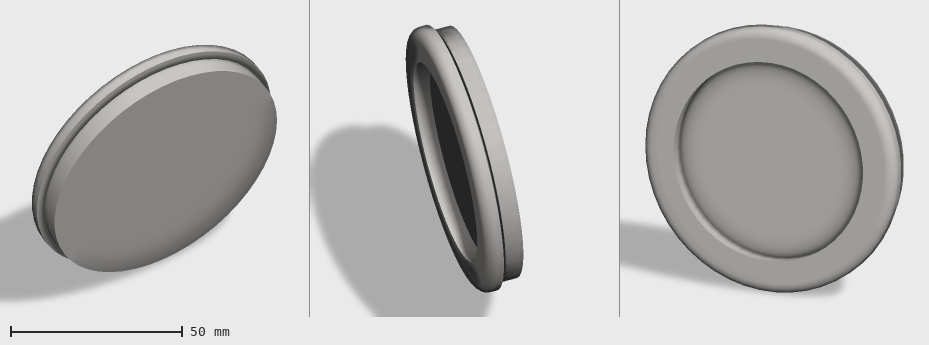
import cadquery as cq

outer_radius = 40.0
ring_thickness = 5.0
ring_edge_radius = 3.0
opening_radius = 30.0

overall_depth = 11.5
neck_radius = 35.0
neck_length = 1.1
disc_radius = 38.0
disc_start = ring_thickness + neck_length


def cylinder_along_x(start, end, radius):
    """Solid cylinder centred on the X axis between two X positions."""
    return cq.Workplane("YZ", origin=(start, 0, 0)).circle(radius).extrude(end - start)


def make_ring():
    """Front ring with a rounded outer edge and a through opening."""
    body = cylinder_along_x(0, ring_thickness, outer_radius)
    body = body.faces("<X").edges().fillet(ring_edge_radius)
    return body.cut(cylinder_along_x(0, ring_thickness, opening_radius))


def make_backing():
    """Disc with a narrower neck that seats against the back of the ring and closes its opening."""
    neck = cylinder_along_x(ring_thickness, disc_start, neck_radius)
    disc = cylinder_along_x(disc_start, overall_depth, disc_radius)
    return neck.union(disc)


ring = make_ring()
backing = make_backing()

result = cq.Compound.makeCompound([ring.val(), backing.val()])